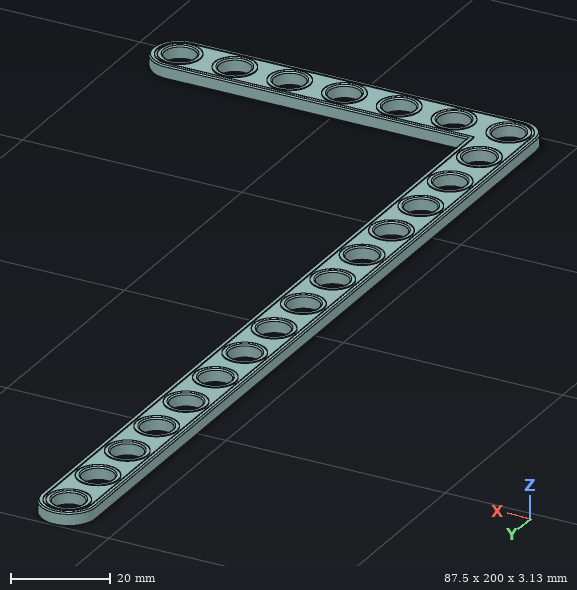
import cadquery as cq

pitch = 12.5
thickness = pitch / 4
short_arm_holes = 7
long_arm_holes = 16
hole_diameter = 7.0
collar_diameter = 9.2
rim_width = 1.1
recess_depth = 0.2
edge_chamfer = 0.3

arm_radius = pitch / 2
short_arm_length = (short_arm_holes - 1) * pitch
long_arm_length = (long_arm_holes - 1) * pitch
hole_centers = [(i * pitch, 0) for i in range(short_arm_holes)]
hole_centers += [(0, i * pitch) for i in range(1, long_arm_holes)]


def l_shape(radius, height):
    """L-shaped bar centred on the hole rows, rounded at the ends and outer corner; corner hole at the origin."""
    return (
        cq.Workplane("XY")
        .moveTo(0, -radius)
        .lineTo(short_arm_length, -radius)
        .threePointArc((short_arm_length + radius, 0), (short_arm_length, radius))
        .lineTo(radius, radius)
        .lineTo(radius, long_arm_length)
        .threePointArc((0, long_arm_length + radius), (-radius, long_arm_length))
        .lineTo(-radius, 0)
        .radiusArc((0, -radius), -radius)
        .close()
        .extrude(height)
    )


def cylinders(diameter, height):
    """One cylinder at every hole position."""
    return cq.Workplane("XY").pushPoints(hole_centers).circle(diameter / 2).extrude(height)


def recess():
    """Pocket inside the rim, leaving the collars standing."""
    pocket = l_shape(arm_radius - rim_width, recess_depth)
    pocket = pocket.cut(cylinders(collar_diameter, recess_depth))
    return pocket.translate((0, 0, thickness - recess_depth))


def chamfered_plate():
    """Full plate with its holes, every top and bottom edge chamfered."""
    plate = l_shape(arm_radius, thickness).cut(cylinders(hole_diameter, thickness))
    return plate.faces("|Z").edges().chamfer(edge_chamfer)


result = chamfered_plate().cut(recess())